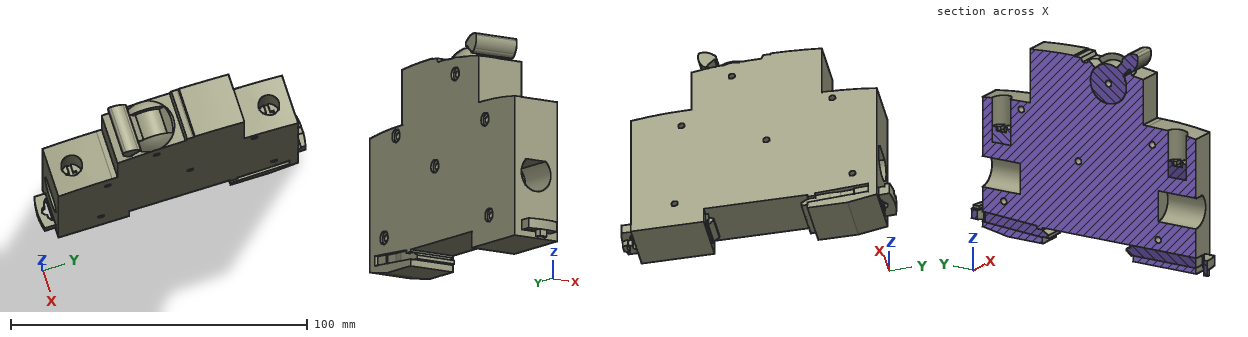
import cadquery as cq
import math

WIDTH = 17.7
HALF_WIDTH = WIDTH / 2
HALF_LENGTH = 42.4

FOOT_TIP_Y = 18.5
FOOT_BEVEL_Y = 32.3
FOOT_BEVEL_Z = 1.9
RAIL_Z = 5.6
RAIL_FRONT_Y = -17.3

SHOULDER_END_Z = 48.1
SHOULDER_Z = 49.5
SHOULDER_ARC_Y = 23.5
TOWER_FRONT_Y = -21.5
TOWER_REAR_Y = 23.5

TOWER_REAR_Z = 68.55
CREST_Y = 5.9
CREST_Z = 69.4
LEDGE_Y = 5.6
LEDGE_Z = 69.0
LEDGE_EDGE_Y = 5.1
LEDGE_EDGE_Z = 69.1
STEP_TOP_Y = 3.2
STEP_FOOT_Y = 2.5
DECK_Z = 67.6
DECK_FRONT_Z = 65.6

PIVOT_Y = -7.6
PIVOT_Z = 61.7
DOME_RADIUS = 10.5
BARREL_RADIUS = 7.0
BARREL_HALF_WIDTH = 4.9
SEAT_REAR_ANGLE = 48.0
SEAT_FRONT_ANGLE = 58.0

LEVER_TILT = 42.0
NECK_HALF_WIDTH = 4.7
NECK_THICKNESS = 3.6
GRIP_WIDTH = 16.7
GRIP_OFFSET = 0.4
GRIP_BASE = 10.5
GRIP_EDGE = [
    (1.7, GRIP_BASE),
    (2.2, 10.1),
    (2.8, 11.1),
    (2.7, 12.4),
    (2.3, 14.4),
    (0.6, 16.4),
]
GRIP_TIP = 16.6

TERMINAL_Y = 34.9
SCREW_DIAMETER = 7.1
SCREW_BOTTOM_Z = 32.9
SCREW_LENGTH = 5.6
SLOT_WIDTH = 1.4
SLOT_DEPTH = 1.4
SHORT_SLOT_LENGTH = 3.8
WIRE_RADIUS = 6.1
WIRE_Z = 22.3
WIRE_FLAT_Z = 26.95
WIRE_DEPTH = 15.0

RIVET_CENTRES = [
    (PIVOT_Y, PIVOT_Z),
    (27.0, 46.4),
    (-25.0, 43.0),
    (4.3, 31.9),
    (34.0, 12.4),
    (-27.3, 9.6),
]
RIVET_DIAMETER = 2.2
RIVET_HEAD_DIAMETER = 4.5
RIVET_HEAD_DEPTH = 0.9

TAB_HALF_WIDTH = 5.8
TAB_CROWN = 0.75
KEYHOLE_HALF_WIDTH = 3.85
KEYHOLE_SIDE = 0.75
KEYHOLE_LEDGE = 1.6
KEYHOLE_LEDGE_HALF = 2.6
KEYHOLE_NECK_HALF = 1.5
KEYHOLE_DEPTH = 3.0

SLIDER_END_Y = 46.9
SLIDER_RECESS_Y = 39.4
SLIDER_RECESS_Z = 3.7
SLIDER_SLOPE = 0.061
SLIDER_THICKNESS = 3.4
SLIDER_LIP_Y = 44.5
SLIDER_LIP_Z = 8.45
LIP_GAP_HALF = 1.2
SLIDER_HALF_WIDTH = 7.6
SLIDER_WAIST_HALF = 7.1
SLIDER_WAIST_Y = (34.3, 29.4, 25.9)
SLIDER_STEP_Y = 21.0
SLIDER_STEP_Z = 4.9
SLIDER_NOSE_Y = 16.15
SLIDER_NOSE_Z = 3.5
SLIDER_KEYHOLE_SHIFT = 1.1

FIXED_END_Y = -47.0
FIXED_BOTTOM_Z = 2.3
FIXED_PEG_BACK_Y = -45.0
LATCH_PLATE_Y = -16.4
LATCH_PLATE_Z = 3.3
LATCH_NOSE = [
    (LATCH_PLATE_Y, 4.9),
    (-15.0, 4.4),
    (-14.65, 4.0),
    (-14.7, 3.5),
    (-16.6, 1.9),
    (RAIL_FRONT_Y, FIXED_BOTTOM_Z),
    (RAIL_FRONT_Y, 4.9),
]
LATCH_HALF_WIDTH = 4.7
PEG_SETBACK = 0.2
PEG_FRONT_HALF = 1.3
PEG_BACK_HALF = 2.0


def across(outline, half_width):
    """Extrude an outline drawn in (Y, Z) symmetrically across X."""
    return outline.extrude(half_width, both=True)


def crown_middle(flat_y, flat_z, end_y, end_z):
    """Middle point of an arc that leaves (flat_y, flat_z) level and ends at (end_y, end_z)."""
    run = end_y - flat_y
    drop = flat_z - end_z
    radius = (run**2 + drop**2) / (2 * drop)
    half_angle = math.asin(run / radius) / 2
    return (flat_y + radius * math.sin(half_angle), flat_z - radius * (1 - math.cos(half_angle)))


def pivot_point(radius, angle):
    """Point in (Y, Z) at an angle from vertical about the pivot, positive towards -Y."""
    turn = math.radians(angle)
    return (PIVOT_Y - radius * math.sin(turn), PIVOT_Z + radius * math.cos(turn))


def case_block():
    outline = (
        cq.Workplane("YZ")
        .moveTo(FOOT_TIP_Y, 0)
        .lineTo(FOOT_BEVEL_Y, 0)
        .lineTo(HALF_LENGTH, FOOT_BEVEL_Z)
        .lineTo(HALF_LENGTH, SHOULDER_END_Z)
        .threePointArc(
            crown_middle(SHOULDER_ARC_Y, SHOULDER_Z, HALF_LENGTH, SHOULDER_END_Z),
            (TOWER_REAR_Y, SHOULDER_Z),
        )
        .lineTo(TOWER_REAR_Y, TOWER_REAR_Z)
        .threePointArc(crown_middle(CREST_Y, CREST_Z, TOWER_REAR_Y, TOWER_REAR_Z), (CREST_Y, CREST_Z))
        .lineTo(LEDGE_Y, LEDGE_Z)
        .lineTo(LEDGE_EDGE_Y, LEDGE_EDGE_Z)
        .lineTo(STEP_TOP_Y, LEDGE_Z)
        .lineTo(STEP_FOOT_Y, DECK_Z)
        .threePointArc(
            crown_middle(STEP_FOOT_Y, DECK_Z, TOWER_FRONT_Y, DECK_FRONT_Z),
            (TOWER_FRONT_Y, DECK_FRONT_Z),
        )
        .lineTo(TOWER_FRONT_Y, SHOULDER_Z)
        .lineTo(-SHOULDER_ARC_Y, SHOULDER_Z)
        .threePointArc(
            crown_middle(-SHOULDER_ARC_Y, SHOULDER_Z, -HALF_LENGTH, SHOULDER_END_Z),
            (-HALF_LENGTH, SHOULDER_END_Z),
        )
        .lineTo(-HALF_LENGTH, 0)
        .lineTo(RAIL_FRONT_Y, 0)
        .lineTo(RAIL_FRONT_Y, RAIL_Z)
        .lineTo(FOOT_TIP_Y, RAIL_Z)
        .close()
    )
    return across(outline, HALF_WIDTH)


def toggle_dome():
    ball = cq.Workplane("XY", origin=(0, PIVOT_Y, PIVOT_Z)).sphere(DOME_RADIUS)
    limits = cq.Workplane("XY", origin=(0, PIVOT_Y, PIVOT_Z)).box(WIDTH, 3 * DOME_RADIUS, 3 * DOME_RADIUS)
    return ball.intersect(limits)


def toggle_seat():
    """Bore for the barrel plus the wedge-shaped opening in which the lever swings."""
    bore = across(cq.Workplane("YZ").center(PIVOT_Y, PIVOT_Z).circle(BARREL_RADIUS), BARREL_HALF_WIDTH)
    reach = 2 * DOME_RADIUS
    wedge = cq.Workplane("YZ").polyline(
        [
            (PIVOT_Y, PIVOT_Z),
            pivot_point(reach, SEAT_FRONT_ANGLE),
            pivot_point(reach, 0),
            pivot_point(reach, -SEAT_REAR_ANGLE),
        ]
    ).close()
    return bore.union(across(wedge, BARREL_HALF_WIDTH))


def rivet_holes():
    shanks = across(cq.Workplane("YZ").pushPoints(RIVET_CENTRES).circle(RIVET_DIAMETER / 2), WIDTH)
    heads = (
        cq.Workplane("YZ", origin=(-HALF_WIDTH, 0, 0))
        .pushPoints(RIVET_CENTRES)
        .circle(RIVET_HEAD_DIAMETER / 2)
        .extrude(RIVET_HEAD_DEPTH)
    )
    return shanks.union(heads)


def wire_hole(side):
    """Round wire entry with a flat top, on the -Y (side = -1) or +Y (side = 1) end."""
    flat_half = math.sqrt(WIRE_RADIUS**2 - (WIRE_FLAT_Z - WIRE_Z) ** 2)
    return (
        cq.Workplane("XZ", origin=(0, side * HALF_LENGTH, 0))
        .moveTo(-flat_half, WIRE_FLAT_Z)
        .threePointArc((0, WIRE_Z - WIRE_RADIUS), (flat_half, WIRE_FLAT_Z))
        .close()
        .extrude(side * WIRE_DEPTH)
    )


def screw_bore(side):
    return (
        cq.Workplane("XY", origin=(0, side * TERMINAL_Y, SCREW_BOTTOM_Z))
        .circle(SCREW_DIAMETER / 2)
        .extrude(SHOULDER_Z - SCREW_BOTTOM_Z)
    )


def make_housing():
    body = case_block().union(toggle_dome()).cut(toggle_seat()).cut(rivet_holes())
    for side in (-1, 1):
        body = body.cut(wire_hole(side)).cut(screw_bore(side))
    return body.cut(slider_recess()).cut(fixed_clip_slot())


def grip():
    base, heel, heel_bulge, shoulder, side_bulge, tip_edge = GRIP_EDGE
    mirrored = [(-offset, height) for offset, height in GRIP_EDGE]
    outline = (
        cq.Workplane("YZ", origin=(0, PIVOT_Y - GRIP_OFFSET, PIVOT_Z))
        .moveTo(*base)
        .lineTo(*heel)
        .threePointArc(heel_bulge, shoulder)
        .threePointArc(side_bulge, tip_edge)
        .threePointArc((0, GRIP_TIP), mirrored[5])
        .threePointArc(mirrored[4], mirrored[3])
        .threePointArc(mirrored[2], mirrored[1])
        .lineTo(*mirrored[0])
        .close()
    )
    return across(outline, GRIP_WIDTH / 2)


def make_toggle():
    pivot = cq.Workplane("YZ", origin=(0, PIVOT_Y, PIVOT_Z))
    barrel = across(pivot.circle(BARREL_RADIUS), BARREL_HALF_WIDTH)
    neck = across(pivot.center(0, GRIP_BASE / 2).rect(NECK_THICKNESS, GRIP_BASE), NECK_HALF_WIDTH)
    lever = neck.union(grip()).rotate((0, PIVOT_Y, PIVOT_Z), (1, PIVOT_Y, PIVOT_Z), LEVER_TILT)
    axle_hole = across(pivot.circle(RIVET_DIAMETER / 2), WIDTH)
    return barrel.union(lever).cut(axle_hole)


def make_screw(side):
    top_z = SCREW_BOTTOM_Z + SCREW_LENGTH
    shank = (
        cq.Workplane("XY", origin=(0, side * TERMINAL_Y, SCREW_BOTTOM_Z))
        .circle(SCREW_DIAMETER / 2)
        .extrude(SCREW_LENGTH)
    )
    slots = (
        cq.Workplane("XY", origin=(0, side * TERMINAL_Y, top_z))
        .rect(2 * SCREW_DIAMETER, SLOT_WIDTH)
        .extrude(-SLOT_DEPTH)
        .union(
            cq.Workplane("XY", origin=(0, side * TERMINAL_Y, top_z))
            .rect(SLOT_WIDTH, SHORT_SLOT_LENGTH)
            .extrude(-SLOT_DEPTH)
        )
    )
    return shank.cut(slots)


def keyhole(side, shift):
    """Stepped opening that starts at the housing face; shift moves it into the housing."""

    def out(distance):
        return side * (HALF_LENGTH + distance - shift)

    return (
        cq.Workplane("XY")
        .moveTo(-KEYHOLE_HALF_WIDTH, out(0))
        .lineTo(-KEYHOLE_HALF_WIDTH, out(KEYHOLE_SIDE))
        .lineTo(-KEYHOLE_LEDGE_HALF, out(KEYHOLE_LEDGE))
        .lineTo(-KEYHOLE_NECK_HALF, out(KEYHOLE_LEDGE))
        .threePointArc((0, out(KEYHOLE_DEPTH)), (KEYHOLE_NECK_HALF, out(KEYHOLE_LEDGE)))
        .lineTo(KEYHOLE_LEDGE_HALF, out(KEYHOLE_LEDGE))
        .lineTo(KEYHOLE_HALF_WIDTH, out(KEYHOLE_SIDE))
        .lineTo(KEYHOLE_HALF_WIDTH, out(0))
        .close()
        .extrude(WIDTH)
    )


def slider_z(y):
    """Height of the slanted underside of the slider."""
    return SLIDER_RECESS_Z + SLIDER_SLOPE * (y - SLIDER_RECESS_Y)


def slider_side():
    """Side outline of the slider as a full-width blank, without its raised lip."""
    outline = cq.Workplane("YZ").polyline(
        [
            (SLIDER_NOSE_Y, slider_z(SLIDER_NOSE_Y)),
            (SLIDER_END_Y, slider_z(SLIDER_END_Y)),
            (SLIDER_END_Y, slider_z(SLIDER_END_Y) + SLIDER_THICKNESS),
            (SLIDER_STEP_Y, slider_z(SLIDER_STEP_Y) + SLIDER_THICKNESS),
            (SLIDER_STEP_Y, SLIDER_STEP_Z),
            (FOOT_TIP_Y, SLIDER_STEP_Z),
            (SLIDER_NOSE_Y, SLIDER_NOSE_Z),
        ]
    ).close()
    return across(outline, HALF_WIDTH)


def slider_recess():
    """Recess open on both sides of the foot, with a narrower slot out to the +Y end."""
    plan = (
        cq.Workplane("XY")
        .polyline(
            [
                (HALF_WIDTH, 0),
                (HALF_WIDTH, SLIDER_RECESS_Y),
                (TAB_HALF_WIDTH, SLIDER_RECESS_Y),
                (TAB_HALF_WIDTH, HALF_LENGTH),
                (-TAB_HALF_WIDTH, HALF_LENGTH),
                (-TAB_HALF_WIDTH, SLIDER_RECESS_Y),
                (-HALF_WIDTH, SLIDER_RECESS_Y),
                (-HALF_WIDTH, 0),
            ]
        )
        .close()
        .extrude(WIDTH)
    )
    return slider_side().intersect(plan)


def make_slider():
    waist_start, waist_end, ramp_end = SLIDER_WAIST_Y
    right_edge = [
        (SLIDER_HALF_WIDTH, SLIDER_NOSE_Y),
        (SLIDER_HALF_WIDTH, ramp_end),
        (SLIDER_WAIST_HALF, waist_end),
        (SLIDER_WAIST_HALF, waist_start),
        (SLIDER_HALF_WIDTH, waist_start),
        (SLIDER_HALF_WIDTH, SLIDER_RECESS_Y),
        (TAB_HALF_WIDTH, SLIDER_RECESS_Y),
        (TAB_HALF_WIDTH, SLIDER_END_Y - TAB_CROWN),
    ]
    left_edge = [(-x, y) for x, y in reversed(right_edge)]
    plan = (
        cq.Workplane("XY")
        .polyline(right_edge)
        .threePointArc((0, SLIDER_END_Y), left_edge[0])
        .polyline(left_edge, includeCurrent=False)
        .close()
        .extrude(WIDTH)
    )
    lip_profile = cq.Workplane("YZ").polyline(
        [
            (SLIDER_LIP_Y, slider_z(SLIDER_LIP_Y)),
            (SLIDER_END_Y, slider_z(SLIDER_END_Y)),
            (SLIDER_END_Y, SLIDER_LIP_Z),
            (SLIDER_LIP_Y, SLIDER_LIP_Z),
        ]
    ).close()
    lip_gap = cq.Workplane("YZ").rect(4 * SLIDER_END_Y, 4 * SLIDER_END_Y)
    lip = across(lip_profile, HALF_WIDTH).cut(across(lip_gap, LIP_GAP_HALF))
    return slider_side().union(lip).intersect(plan).cut(keyhole(1, SLIDER_KEYHOLE_SHIFT))


def fixed_clip_slot():
    """Straight slot through the -Y foot for the fixed clip."""
    outline = cq.Workplane("YZ").polyline(
        [
            (RAIL_FRONT_Y, FIXED_BOTTOM_Z),
            (RAIL_FRONT_Y, RAIL_Z),
            (-HALF_LENGTH, RAIL_Z),
            (-HALF_LENGTH, FIXED_BOTTOM_Z),
        ]
    ).close()
    return across(outline, TAB_HALF_WIDTH)


def make_fixed_clip():
    outline = cq.Workplane("YZ").polyline(
        [
            (FIXED_END_Y, RAIL_Z),
            (LATCH_PLATE_Y, RAIL_Z),
            (LATCH_PLATE_Y, LATCH_PLATE_Z),
            (RAIL_FRONT_Y, FIXED_BOTTOM_Z),
            (FIXED_END_Y, FIXED_BOTTOM_Z),
        ]
    ).close()
    nose = across(cq.Workplane("YZ").polyline(LATCH_NOSE).close(), LATCH_HALF_WIDTH)
    corner_y = FIXED_END_Y + TAB_CROWN
    peg_front_y = FIXED_END_Y + PEG_SETBACK
    plan = (
        cq.Workplane("XY")
        .moveTo(TAB_HALF_WIDTH, 0)
        .lineTo(TAB_HALF_WIDTH, corner_y)
        .threePointArc((0, FIXED_END_Y), (-TAB_HALF_WIDTH, corner_y))
        .lineTo(-TAB_HALF_WIDTH, 0)
        .close()
        .extrude(WIDTH)
    )
    peg = (
        cq.Workplane("XY")
        .polyline(
            [
                (PEG_FRONT_HALF, peg_front_y),
                (PEG_BACK_HALF, FIXED_PEG_BACK_Y),
                (-PEG_BACK_HALF, FIXED_PEG_BACK_Y),
                (-PEG_FRONT_HALF, peg_front_y),
            ]
        )
        .close()
        .extrude(RAIL_Z)
    )
    body = across(outline, TAB_HALF_WIDTH).union(nose).union(peg).intersect(plan)
    return body.cut(keyhole(-1, 0))


housing = make_housing()
toggle = make_toggle()
screws = [make_screw(side) for side in (-1, 1)]
slider = make_slider()
fixed_clip = make_fixed_clip()

result = cq.Compound.makeCompound(
    [
        housing.val(),
        toggle.val(),
        *[screw.val() for screw in screws],
        slider.val(),
        fixed_clip.val(),
    ]
)